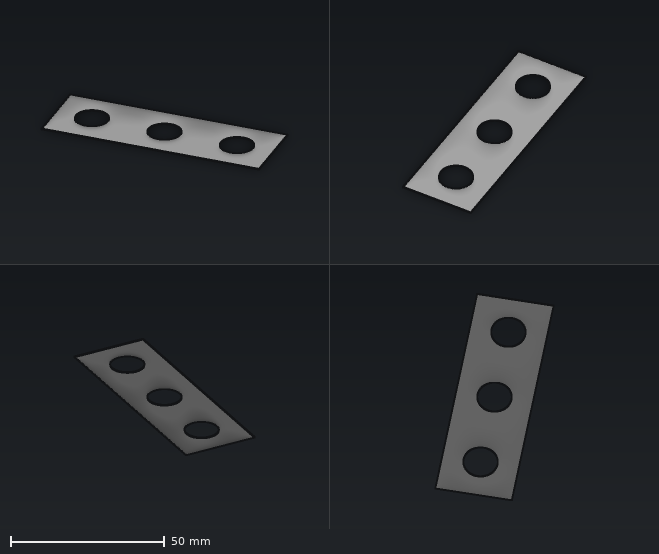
import cadquery as cq

length = 76.2
hole_count = 3
pitch = length / hole_count
width = pitch
thickness = 0.4
hole_diameter = 11.2

strip = cq.Workplane("XY").box(length, width, thickness)

result = (
    strip.faces(">Z")
    .workplane()
    .rarray(pitch, width, hole_count, 1)
    .hole(hole_diameter)
)